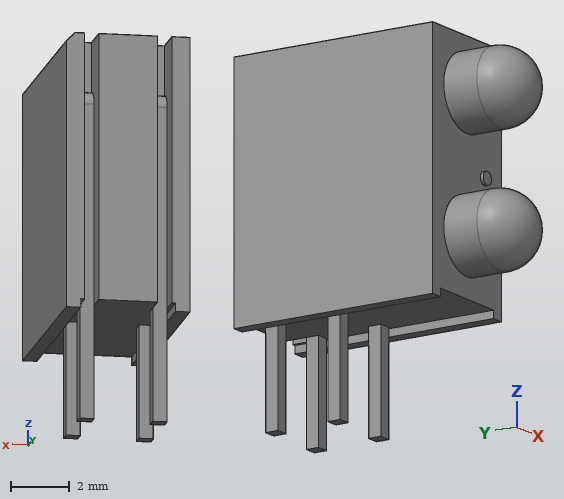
import cadquery as cq

body_width = 4.3
body_depth = 8.12
body_height = 9.65
corner_chamfer = 0.3

foot_width = 0.5
foot_height = 0.3

lens_diameter = 2.9
lens_radius = lens_diameter / 2
lens_reach = 2.8
lens_barrel_length = lens_reach - lens_radius
upper_lens_drop = 2.03
lens_pitch = 5.08
upper_lens_z = body_height - upper_lens_drop
lower_lens_z = upper_lens_z - lens_pitch

nub_diameter = 0.5
nub_height = 0.12
nub_x = 1.08
nub_z = 4.83

lead_size = 0.5
lead_pitch = 2.54
lead_tip_z = -3.68
lead_x_positions = (-lead_pitch / 2, lead_pitch / 2)

slot_width = lead_size
slot_depth = 1.385
slot_floor_y = body_depth - slot_depth
rear_lead_y = slot_floor_y + lead_size / 2
front_lead_y = rear_lead_y - lead_pitch


def make_body():
    """Housing block with one chamfered top edge, side feet and two rear slots."""
    box_centering = (True, False, False)
    block = cq.Workplane("XY").box(body_width, body_depth, body_height, centered=box_centering)
    block = block.edges("|Y and >X and >Z").chamfer(corner_chamfer)
    relief_width = body_width - 2 * foot_width
    relief = cq.Workplane("XY").box(relief_width, body_depth, foot_height, centered=box_centering)
    block = block.cut(relief)
    for x in lead_x_positions:
        slot = cq.Workplane("XY").box(slot_width, slot_depth, body_height, centered=box_centering)
        block = block.cut(slot.translate((x, slot_floor_y, 0)))
    return block


def make_lens(axis_z):
    """Round barrel standing on the front face, closed by a hemisphere."""
    barrel_end_y = -lens_barrel_length
    barrel = cq.Workplane("XZ").center(0, axis_z).circle(lens_radius).extrude(lens_barrel_length)
    dome = cq.Workplane("XY").sphere(lens_radius).translate((0, barrel_end_y, axis_z))
    return barrel.union(dome)


def make_nub():
    """Small round polarity mark on the front face."""
    return cq.Workplane("XZ").center(nub_x, nub_z).circle(nub_diameter / 2).extrude(nub_height)


def make_lead(x, y, top_z):
    """Square lead from its tip up to top_z."""
    lead = cq.Workplane("XY").box(lead_size, lead_size, top_z - lead_tip_z, centered=(True, True, False))
    return lead.translate((x, y, lead_tip_z))


def make_rear_lead(x):
    """Lead on the slot floor, its top rounded off where it turns in toward the upper lens."""
    top_z = upper_lens_z + lead_size / 2
    lead = make_lead(x, rear_lead_y, top_z - lead_size)
    bend_side = (
        cq.Workplane("YZ", origin=(x - lead_size / 2, slot_floor_y, top_z - lead_size))
        .lineTo(lead_size, 0)
        .radiusArc((0, lead_size), -lead_size)
        .close()
    )
    bend = bend_side.extrude(lead_size)
    return lead.union(bend)


result = make_body()
for lens_z in (upper_lens_z, lower_lens_z):
    result = result.union(make_lens(lens_z))
result = result.union(make_nub())
for lead_x in lead_x_positions:
    result = result.union(make_rear_lead(lead_x))
    result = result.union(make_lead(lead_x, front_lead_y, lower_lens_z))